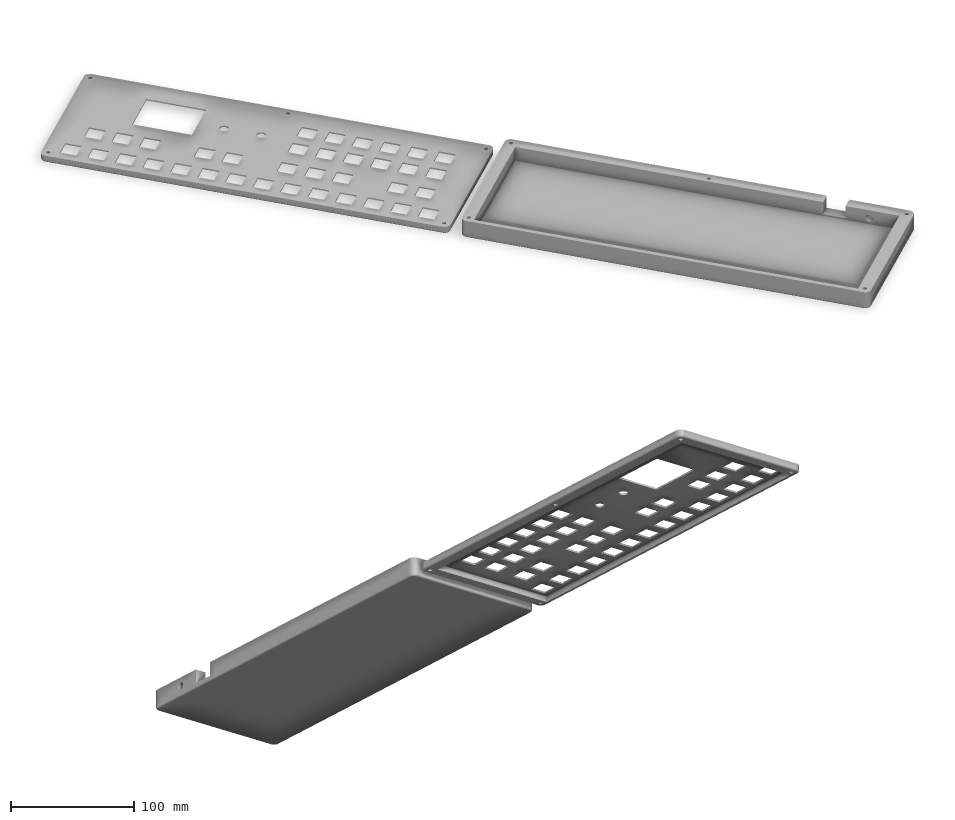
import cadquery as cq

total_length = 708.0
gap = 10.0
body_length = (total_length - gap) / 2
body_width = 124.0
plate_height = 6.5
tray_height = 16.0
corner_radius = 5.0
bottom_radius = 1.5
center_offset = (total_length - body_length) / 2

side_wall = 10.5
back_wall = 10.0
front_wall = 3.5
plate_skin = 1.5
tray_floor = 3.0
hollow_length = body_length - 2 * side_wall
hollow_width = body_width - back_wall - front_wall
hollow_center_y = (front_wall - back_wall) / 2

screw_diameter = 3.5
screw_inset = 6.0
screw_x = body_length / 2 - screw_inset
screw_y = body_width / 2 - screw_inset
screw_points = [
    (-screw_x, -screw_y),
    (screw_x, -screw_y),
    (-screw_x, screw_y),
    (0, screw_y),
    (screw_x, screw_y),
]

key_size = 14.0
front_key_count = 14
front_row_span = 305.0
key_pitch = front_row_span / (front_key_count - 1)
front_row_x = -front_row_span / 2
inner_row_x = front_row_x + key_pitch / 2
key_rows = [
    (-47.0, front_row_x, range(front_key_count)),
    (-19.0, inner_row_x, [0, 1, 2, 4, 5, 7, 8, 9, 11, 12]),
    (10.0, inner_row_x, range(7, 13)),
    (34.0, inner_row_x, range(7, 13)),
]
key_points = [
    (column_0_x + column * key_pitch, row_y)
    for row_y, column_0_x, columns in key_rows
    for column in columns
]

window_length = 51.0
window_width = 38.0
window_center = (-90.5, 22.0)
knob_diameter = 8.0
knob_points = [(-43.0, 20.0), (-11.0, 20.0)]

notch_width = 19.0
notch_x = 108.0
notch_bottom = 4.0
jack_diameter = 6.5
jack_x = 138.0
jack_z = 8.5


def box_on(x, y, bottom, length, width, height):
    """Box centered on (x, y) that stands on Z = bottom."""
    base = cq.Workplane("XY", origin=(x, y, bottom))
    return base.box(length, width, height, centered=(True, True, False))


def rounded_block(height):
    """Block on Z = 0 with rounded upright corners and a rounded bottom edge."""
    block = box_on(0, 0, 0, body_length, body_width, height)
    return block.edges("|Z").fillet(corner_radius).faces("<Z").edges().fillet(bottom_radius)


def hollow(bottom, height):
    """Rectangular space inside the walls."""
    return box_on(0, hollow_center_y, bottom, hollow_length, hollow_width, height)


def round_cutters(points, diameter, bottom, height):
    """Upright cylinders that cut round holes."""
    base = cq.Workplane("XY").workplane(offset=bottom)
    return base.pushPoints(points).circle(diameter / 2).extrude(height)


def rect_cutters(points, length, width, height):
    """Upright blocks on Z = 0 that cut rectangular openings."""
    return cq.Workplane("XY").pushPoints(points).rect(length, width).extrude(height)


def make_plate():
    """Thin key plate, hollow underneath, with all openings going through."""
    plate = rounded_block(plate_height).cut(hollow(0, plate_height - plate_skin))
    plate = plate.cut(rect_cutters(key_points, key_size, key_size, plate_height))
    plate = plate.cut(rect_cutters([window_center], window_length, window_width, plate_height))
    plate = plate.cut(round_cutters(knob_points, knob_diameter, 0, plate_height))
    return plate.cut(round_cutters(screw_points, screw_diameter, 0, plate_height))


def make_tray():
    """Open tray with screw holes down to floor level and two back openings."""
    wall_height = tray_height - tray_floor
    tray = rounded_block(tray_height).cut(hollow(tray_floor, wall_height))
    tray = tray.cut(round_cutters(screw_points, screw_diameter, tray_floor, wall_height))

    back_wall_y = (body_width - back_wall) / 2
    notch_height = tray_height - notch_bottom
    notch = box_on(notch_x, back_wall_y, notch_bottom, notch_width, back_wall, notch_height)
    jack_hole = (
        cq.Workplane("XZ", origin=(jack_x, body_width / 2, jack_z))
        .circle(jack_diameter / 2)
        .extrude(back_wall)
    )
    return tray.cut(notch).cut(jack_hole)


plate = make_plate().translate((-center_offset, 0, 0))
tray = make_tray().translate((center_offset, 0, 0))

result = cq.Compound.makeCompound([plate.solids().val(), tray.solids().val()])